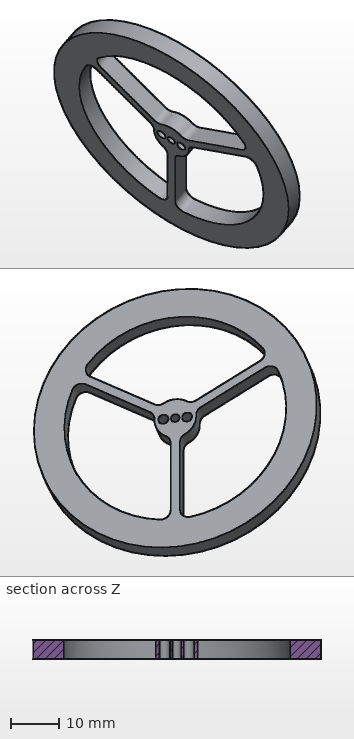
import cadquery as cq
import math

outer_radius = 30.0
rim_inner_radius = 23.5
thickness = 4.0
hub_radius = 4.45
spoke_width = 2.0
spoke_count = 3
rim_fillet = 2.0
hub_fillet = 2.0
axle_hole_diameter = 1.8
side_hole_diameter = 2.1
side_hole_offset = 2.5

match_tolerance = 0.005


def disc(radius):
    """Solid disc centred on the wheel, through its full thickness."""
    return cq.Workplane("XZ", origin=(0, thickness / 2, 0)).circle(radius).extrude(thickness)


def spoke(index):
    """Straight bar from the hub centre into the rim; the first points to -Z."""
    length = (rim_inner_radius + outer_radius) / 2
    bar = cq.Workplane("XY").box(spoke_width, thickness, length)
    bar = bar.translate((0, 0, -length / 2))
    return bar.rotate((0, 0, 0), (0, 1, 0), index * 360 / spoke_count)


def fillet_spoke_roots(body, circle_radius, fillet_radius):
    """Round the corners where the spoke sides meet the hub or rim circle."""
    half_angle = math.degrees(math.asin(spoke_width / 2 / circle_radius))
    corners = []
    for index in range(spoke_count):
        for side in (-1, 1):
            angle = math.radians(-90 + index * 360 / spoke_count + side * half_angle)
            corners.append(cq.Vector(circle_radius * math.cos(angle), 0, circle_radius * math.sin(angle)))

    def is_corner(edge):
        return any((edge.Center() - corner).Length < match_tolerance for corner in corners)

    return body.edges("|Y").filter(is_corner).fillet(fillet_radius)


wheel = disc(outer_radius).cut(disc(rim_inner_radius)).union(disc(hub_radius))
for spoke_index in range(spoke_count):
    wheel = wheel.union(spoke(spoke_index))

wheel = fillet_spoke_roots(wheel, rim_inner_radius, rim_fillet)
wheel = fillet_spoke_roots(wheel, hub_radius, hub_fillet)

wheel = wheel.cut(disc(axle_hole_diameter / 2))
for side in (-1, 1):
    side_hole = disc(side_hole_diameter / 2).translate((side * side_hole_offset, 0, 0))
    wheel = wheel.cut(side_hole)

result = wheel